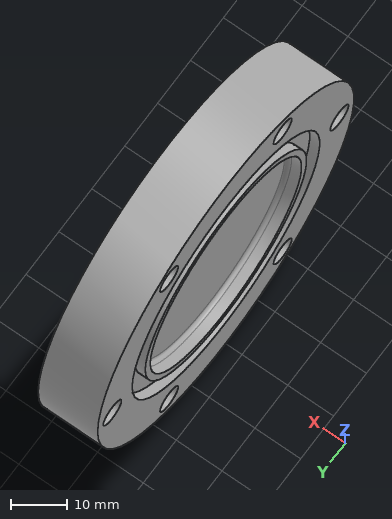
import cadquery as cq

flange_diameter = 77.95
flange_thickness = 13.0

bolt_count = 6
bolt_diameter = 5.5
bolt_circle_diameter = 69.0

recess_diameter = 57.0
recess_depth = 2.2
ridge_outer_diameter = 49.0

pocket_diameter = 46.0
pocket_depth = 3.2
pocket_corner_radius = 0.9


def disc(diameter, start, length):
    """Solid cylinder along +X, starting at the given X position."""
    return cq.Workplane("YZ", origin=(start, 0, 0)).circle(diameter / 2).extrude(length)


def bolt_holes():
    """Through holes on the bolt circle, the first one on the +Y axis."""
    return (
        cq.Workplane("YZ")
        .polarArray(bolt_circle_diameter / 2, 0, 360, bolt_count)
        .circle(bolt_diameter / 2)
        .extrude(flange_thickness)
    )


def rounded_pocket():
    """Pocket volume whose floor edge is rounded."""
    return disc(pocket_diameter, 0, pocket_depth).faces(">X").edges().fillet(pocket_corner_radius)


flange = disc(flange_diameter, 0, flange_thickness)
recess = disc(recess_diameter, 0, recess_depth)
ridge = disc(ridge_outer_diameter, 0, recess_depth)

result = flange.cut(recess).union(ridge).cut(rounded_pocket()).cut(bolt_holes())